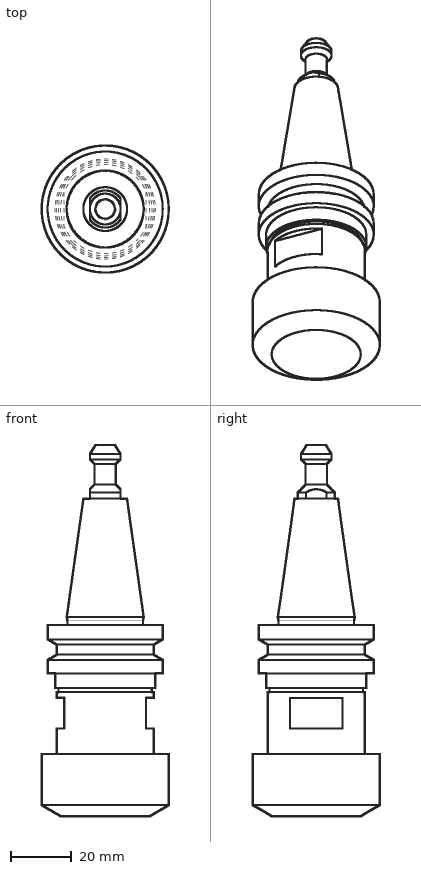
import cadquery as cq

total_height = 122.5
holder_top_z = 104.7

nut_radius = 21.01
nut_nose_radius = 14.7
nut_nose_height = 3.7
nut_top_z = 20.6

shank_radius = 16.0
shank_top_z = 40.9
relief_radius = 15.4
relief_top_z = 42.3
wrench_flat_spacing = 27.1
wrench_flat_bottom_z = 29.0
wrench_flat_top_z = 39.1

collar_radius = 16.5
flange_radius = 19.0
flange_bottom_z = 47.2
flange_top_z = 63.1
groove_floor_radius = 16.0
groove_bottom_z = 51.6
groove_top_z = 58.3
groove_wall_height = 1.7

neck_radius = 12.5
neck_top_z = 64.5
taper_bottom_z = 65.7
taper_base_radius = 12.7
taper_tip_radius = 7.2

stud_collar_radius = 6.1
stud_collar_top_z = 106.8
stud_flat_spacing = 10.2
stud_neck_radius = 3.5
stud_neck_bottom_z = stud_collar_top_z + stud_collar_radius - stud_neck_radius
stud_head_radius = 5.08
stud_head_bottom_z = 117.7
stud_neck_top_z = stud_head_bottom_z - (stud_head_radius - stud_neck_radius)
stud_head_shoulder_z = 119.4
stud_tip_radius = 3.2


def turned(profile):
    """Revolve a closed (radius, z) profile about the Z axis."""
    return cq.Workplane("XZ").polyline(profile).close().revolve(360, (0, 0), (0, 1))


def cut_flats(body, spacing, radius, bottom_z, top_z):
    """Mill two flats, facing -X and +X, between two heights."""
    depth = radius - spacing / 2
    for side in (-1, 1):
        cutter = (
            cq.Workplane("XY", origin=(side * (spacing + depth) / 2, 0, bottom_z))
            .box(depth, 2 * radius, top_z - bottom_z, centered=(True, True, False))
        )
        body = body.cut(cutter)
    return body.solids()


def make_holder():
    """Tapered tool holder, from the nut nose up to the tip of the taper."""
    body = turned([
        (0, 0),
        (nut_nose_radius, 0),
        (nut_radius, nut_nose_height),
        (nut_radius, nut_top_z),
        (shank_radius, nut_top_z),
        (shank_radius, shank_top_z),
        (relief_radius, shank_top_z),
        (relief_radius, relief_top_z),
        (collar_radius, relief_top_z),
        (collar_radius, flange_bottom_z),
        (flange_radius, flange_bottom_z),
        (flange_radius, groove_bottom_z),
        (groove_floor_radius, groove_bottom_z + groove_wall_height),
        (groove_floor_radius, groove_top_z - groove_wall_height),
        (flange_radius, groove_top_z),
        (flange_radius, flange_top_z),
        (neck_radius, flange_top_z),
        (neck_radius, neck_top_z),
        (taper_base_radius, taper_bottom_z),
        (taper_tip_radius, holder_top_z),
        (0, holder_top_z),
    ])
    return cut_flats(body, wrench_flat_spacing, shank_radius, wrench_flat_bottom_z, wrench_flat_top_z)


def make_pull_stud():
    """Pull stud seated on the tip of the taper, with flats on its collar."""
    body = turned([
        (0, holder_top_z),
        (stud_collar_radius, holder_top_z),
        (stud_collar_radius, stud_collar_top_z),
        (stud_neck_radius, stud_neck_bottom_z),
        (stud_neck_radius, stud_neck_top_z),
        (stud_head_radius, stud_head_bottom_z),
        (stud_head_radius, stud_head_shoulder_z),
        (stud_tip_radius, total_height),
        (0, total_height),
    ])
    return cut_flats(body, stud_flat_spacing, stud_collar_radius, holder_top_z, stud_neck_bottom_z)


holder = make_holder()
pull_stud = make_pull_stud()

result = cq.Compound.makeCompound([holder.val(), pull_stud.val()])